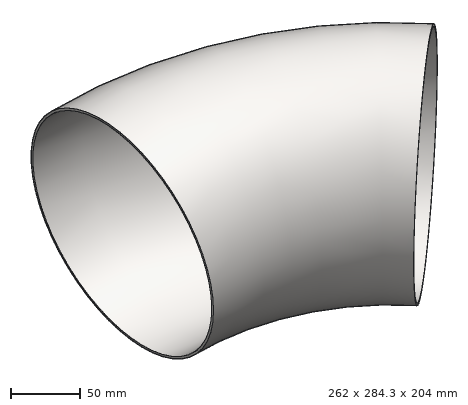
import cadquery as cq

outer_diameter = 204.0
wall_thickness = 2.0
bend_radius = 300.0
bend_angle = 45.0

outer_radius = outer_diameter / 2
inner_radius = outer_radius - wall_thickness


def pipe_elbow():
    """Annular section in the XZ plane, swept toward +Y and bending toward +X."""
    section = cq.Workplane("XZ").circle(outer_radius).circle(inner_radius)
    axis_start = (bend_radius, 1, 0)
    axis_end = (bend_radius, 0, 0)
    return section.revolve(bend_angle, axis_start, axis_end)


result = pipe_elbow()